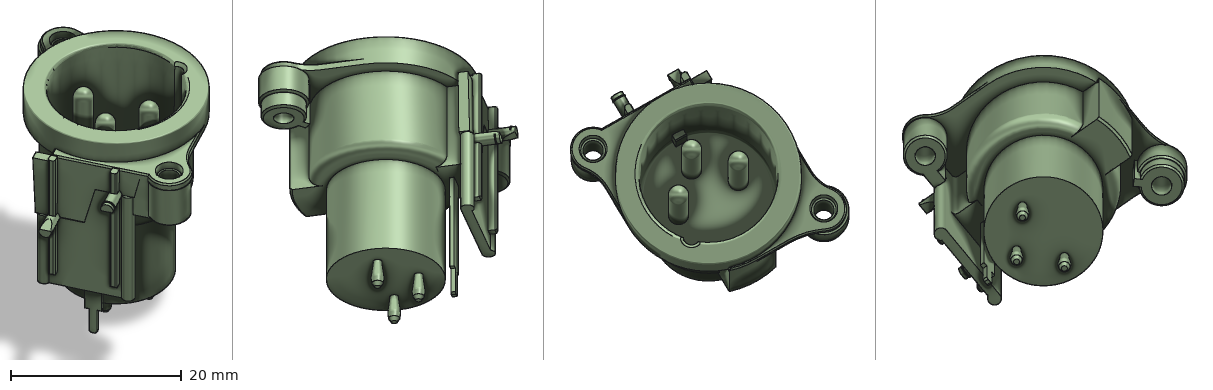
import cadquery as cq
import math


COLLAR_R = 10.9
COLLAR_TOP = 2.75
RIM_FILLET = 0.2
CUP_R = 9.04
CUP_BOTTOM = -11.8
CUP_FILLET = 1.55
BARREL_R = 6.97
BARREL_BOTTOM = -24.0
TAIL_BOTTOM = -27.45

BORE_TOP_R = 8.15
BORE_BOTTOM_R = 8.03
BORE_FLOOR = -10.2
BORE_RIM_FILLET = 0.45
BORE_FLOOR_FILLET = 0.42
KEY_R = 0.97
KEY_POSITION_R = 7.75
KEY_RIM_CHAMFER = 0.4
KEY_ANGLE = 45.0

FLANGE_T = 0.93
FLANGE_CHAMFER = 0.2
LUG_OFFSET = 9.88
LUG_R = 2.65
LUG_WIDE_R = 2.95
LUG_WIDE_BOTTOM = -4.35
LUG_BOTTOM = -6.3
LUG_CHAMFER = 0.25
LUG_STEM_R = 2.57
LUG_WEB_W = 1.0
LUG_WEB_L = 3.3
FRONT_WEB_X = 5.95
HOLE_R = 1.18
RECESS_TOP_R = 1.63
RECESS_FLOOR_R = 1.45
RECESS_DEPTH = 0.8
SIDE_BLEND_R = 5.2
BACK_BLEND_R = 9.8
BACK_Y = 11.26
BACK_X_MIN = -2.85
BACK_X_MAX = 3.4
BACK_FILLET = 0.6
BACK_CHAMFER = 0.3

PANEL_Y = -11.5
PANEL_BACK_Y = -10.3
PANEL_BOTTOM = -18.95
PANEL_LEFT = -4.25
RAIL_R = 0.8
RAIL_Y = -11.1
RAIL_LEFT_X = -5.15
RAIL_RIGHT_X = 5.22
PEG_X = 3.82
PEG_R = 0.76
PEG_END_Y = -14.8
PEG_TAPER_Y = -13.13
PEG_END_FLAT = 0.28
PEG_RIDGE_Y = -14.2
PEG_RIDGE_W = 0.15
PEG_RIDGE_H = 0.08
PEG_LEFT_Z = -8.88
PEG_RIGHT_Z = -3.72
PAD_STEP_LEFT_X = -0.05
PAD_STEP_RIGHT_X = 1.27
PAD_TOP_LEFT_X = -6.45
PAD_TOP_RIGHT_X = 6.75
PAD_FOOT_X = 6.1
PAD_DRAFT = 0.1
RIB_W = 0.86
RIB_Y = -12.5
RIB_BOTTOM = -16.96
RIB_CHAMFER = 0.2
WEB_HALF_W = 3.65
WEB_FILLET = 0.6

PIN_R = 1.2
PIN_TOP = 1.47
PIN_X = 4.06
PIN_Y = -3.95
PIN_POSITIONS = [(-PIN_X, 0), (PIN_X, 0), (0, PIN_Y)]
TAIL_NECK_R = 0.53
TAIL_BULB_R = 0.75
TAIL_TIP_R = 0.35
TAIL_NECK_L = 0.4
TAIL_BULB_Z = -26.1
TAIL_BULB_L = 0.25
TAIL_ROUND_Z = -26.95
TAIL_ROUND_R = 0.66
GROUND_Y_FRONT = -8.5
GROUND_Y_BACK = -7.95
GROUND_W = 2.06
GROUND_TIP_W = 1.0
GROUND_TIP_CHAMFER = 0.25
TAB_X = (-1.25, 0.25)
TAB_Y = (-8.3, -7.15)
TAB_H = 3.0
TAB_CHAMFER = 0.18


def box(x0, x1, y0, y1, z0, z1):
    return cq.Workplane("XY").box(x1 - x0, y1 - y0, z1 - z0, centered=False).translate((x0, y0, z0))


def cylinder(x, y, radius, z0, z1):
    return cq.Workplane("XY", origin=(x, y, z0)).circle(radius).extrude(z1 - z0)


def blend_tangency(flat_offset, blend_r):
    """Concave blend between a lug and a flat lying flat_offset outside the lug centre.

    Returns the distance along the flat to the tangent point on the flat, and the tangent
    point on the lug as (along the flat, outwards), all from the lug centre.
    """
    out = flat_offset + blend_r
    along = math.sqrt((LUG_R + blend_r) ** 2 - out ** 2)
    ratio = LUG_R / (LUG_R + blend_r)
    return along, along * ratio, out * ratio


def flange():
    side_flat, side_along, side_out = blend_tangency(COLLAR_R - LUG_OFFSET, SIDE_BLEND_R)
    back_flat, back_along, back_out = blend_tangency(BACK_Y - LUG_OFFSET, BACK_BLEND_R)
    step_angle = math.acos(BACK_X_MAX / BACK_Y)
    half_angle = (math.pi / 2 + step_angle) / 2
    front_cut = math.sqrt(LUG_R ** 2 - (PANEL_Y + LUG_OFFSET) ** 2)
    outline = (
        cq.Workplane("XY", origin=(0, 0, -FLANGE_T))
        .moveTo(-COLLAR_R, 0)
        .lineTo(-COLLAR_R, LUG_OFFSET - side_flat)
        .tangentArcPoint((-LUG_OFFSET - side_out, LUG_OFFSET - side_along), relative=False)
        .tangentArcPoint((-LUG_OFFSET + back_along, LUG_OFFSET + back_out), relative=False)
        .tangentArcPoint((-LUG_OFFSET + back_flat, BACK_Y), relative=False)
        .lineTo(0, BACK_Y)
        .threePointArc(
            (BACK_Y * math.cos(half_angle), BACK_Y * math.sin(half_angle)),
            (BACK_X_MAX, BACK_Y * math.sin(step_angle)),
        )
        .lineTo(0, 0)
        .lineTo(COLLAR_R, 0)
        .lineTo(COLLAR_R, -LUG_OFFSET + side_flat)
        .tangentArcPoint((LUG_OFFSET + side_out, -LUG_OFFSET + side_along), relative=False)
        .tangentArcPoint((LUG_OFFSET - front_cut, PANEL_Y), relative=False)
        .lineTo(PANEL_LEFT, PANEL_Y)
        .lineTo(PANEL_LEFT, 0)
        .close()
    )
    return outline.extrude(FLANGE_T).faces(">Z").chamfer(FLANGE_CHAMFER)


def shell():
    collar = cylinder(0, 0, COLLAR_R, -FLANGE_T, COLLAR_TOP).faces(">Z").edges().fillet(RIM_FILLET)
    cup = cylinder(0, 0, CUP_R, CUP_BOTTOM, 0).faces("<Z").edges().fillet(CUP_FILLET)
    barrel = cylinder(0, 0, BARREL_R, BARREL_BOTTOM, BORE_FLOOR)
    return collar.union(cup).union(barrel)


def lugs():
    back = cylinder(-LUG_OFFSET, LUG_OFFSET, LUG_WIDE_R, LUG_WIDE_BOTTOM, -FLANGE_T)
    back = back.faces("<Z").chamfer(LUG_CHAMFER)
    stub = cylinder(-LUG_OFFSET, LUG_OFFSET, LUG_R, LUG_BOTTOM, -FLANGE_T)
    stub = stub.faces("<Z").chamfer(LUG_CHAMFER)
    front = cylinder(LUG_OFFSET, -LUG_OFFSET, LUG_STEM_R, LUG_BOTTOM, -FLANGE_T)
    front = front.faces("<Z").chamfer(LUG_CHAMFER)
    lug_distance = LUG_OFFSET * math.sqrt(2)
    web = box(-lug_distance, LUG_WEB_L - lug_distance, -LUG_WEB_W / 2, LUG_WEB_W / 2, LUG_BOTTOM, -FLANGE_T)
    web = web.rotate((0, 0, 0), (0, 0, 1), -45)
    front_web = box(FRONT_WEB_X, LUG_OFFSET, PANEL_Y, -LUG_OFFSET, LUG_BOTTOM, -FLANGE_T)
    return back.union(stub).union(front).union(web).union(front_web)


def lug_holes():
    profile = (
        cq.Workplane("XZ")
        .moveTo(0, LUG_BOTTOM)
        .lineTo(HOLE_R, LUG_BOTTOM)
        .lineTo(HOLE_R, -RECESS_DEPTH)
        .lineTo(RECESS_FLOOR_R, -RECESS_DEPTH)
        .lineTo(RECESS_TOP_R, 0)
        .lineTo(0, 0)
        .close()
        .revolve(360, (0, 0, 0), (0, 1, 0))
    )
    back = profile.translate((-LUG_OFFSET, LUG_OFFSET, 0))
    front = profile.translate((LUG_OFFSET, -LUG_OFFSET, 0))
    return back.union(front)


def bore():
    hole = (
        cq.Workplane("XZ")
        .moveTo(0, BORE_FLOOR)
        .lineTo(BORE_BOTTOM_R - BORE_FLOOR_FILLET, BORE_FLOOR)
        .tangentArcPoint((BORE_BOTTOM_R, BORE_FLOOR + BORE_FLOOR_FILLET), relative=False)
        .lineTo(BORE_TOP_R, COLLAR_TOP - BORE_RIM_FILLET)
        .tangentArcPoint((BORE_TOP_R + BORE_RIM_FILLET, COLLAR_TOP), relative=False)
        .lineTo(0, COLLAR_TOP)
        .close()
        .revolve(360, (0, 0, 0), (0, 1, 0))
    )
    groove = cylinder(KEY_POSITION_R, 0, KEY_R, BORE_FLOOR, COLLAR_TOP)
    groove = groove.union(box(0, KEY_POSITION_R, -KEY_R, KEY_R, BORE_FLOOR, COLLAR_TOP))
    flare = (
        cq.Workplane("XY", origin=(KEY_POSITION_R, 0, COLLAR_TOP))
        .circle(KEY_R + KEY_RIM_CHAMFER)
        .extrude(-KEY_RIM_CHAMFER, taper=45)
    )
    groove = groove.union(flare)
    return hole.union(groove.rotate((0, 0, 0), (0, 0, 1), KEY_ANGLE))


def back_rib():
    block = box(BACK_X_MIN, BACK_X_MAX, 0, BACK_Y, CUP_BOTTOM, -FLANGE_T)
    block = block.edges("|Z and >Y and <X").fillet(BACK_FILLET)
    return block.intersect(cylinder(0, 0, BACK_Y, CUP_BOTTOM, 0).faces("<Z").chamfer(BACK_CHAMFER))


def drafted_pad():
    """Raised front face, flush with the panel at the flange and proud of it lower down."""
    outline = [
        (PAD_TOP_LEFT_X, -FLANGE_T),
        (PAD_TOP_RIGHT_X, -FLANGE_T),
        (PAD_FOOT_X, PEG_RIGHT_Z),
        (PAD_STEP_RIGHT_X, PEG_RIGHT_Z),
        (PAD_STEP_LEFT_X, PEG_LEFT_Z),
        (-PAD_FOOT_X, PEG_LEFT_Z),
    ]
    depth = PANEL_BACK_Y - PANEL_Y + PAD_DRAFT
    block = cq.Workplane("XZ", origin=(0, PANEL_BACK_Y, 0)).polyline(outline).close().extrude(depth)
    relief = (
        cq.Workplane("YZ", origin=(PAD_TOP_LEFT_X, 0, 0))
        .moveTo(PANEL_Y, -FLANGE_T)
        .lineTo(PANEL_Y - PAD_DRAFT, -FLANGE_T)
        .lineTo(PANEL_Y - PAD_DRAFT, PEG_LEFT_Z)
        .close()
        .extrude(PAD_TOP_RIGHT_X - PAD_TOP_LEFT_X)
    )
    return block.cut(relief)


def panel_web():
    """Web from the cup to the panel, flaring with a concave fillet onto the panel's back."""
    bend_mid = WEB_FILLET * (1 - math.sqrt(0.5))
    half = (
        cq.Workplane("XY", origin=(0, 0, CUP_BOTTOM))
        .moveTo(0, -BARREL_R)
        .lineTo(WEB_HALF_W, -BARREL_R)
        .lineTo(WEB_HALF_W, PANEL_BACK_Y + WEB_FILLET)
        .threePointArc(
            (WEB_HALF_W + bend_mid, PANEL_BACK_Y + bend_mid),
            (WEB_HALF_W + WEB_FILLET, PANEL_BACK_Y),
        )
        .lineTo(0, PANEL_BACK_Y)
        .close()
        .extrude(-FLANGE_T - CUP_BOTTOM)
    )
    return half.union(half.mirror("YZ"))


def panel():
    plate = box(RAIL_LEFT_X, RAIL_RIGHT_X, PANEL_Y, PANEL_BACK_Y, PANEL_BOTTOM, -FLANGE_T)
    for x, top_z in ((RAIL_LEFT_X, PEG_LEFT_Z), (RAIL_RIGHT_X, PEG_RIGHT_Z)):
        plate = plate.union(cylinder(x, RAIL_Y, RAIL_R, PANEL_BOTTOM, top_z))
    return plate.union(drafted_pad()).union(panel_web())


def rib(x):
    body = box(x - RIB_W / 2, x + RIB_W / 2, RIB_Y, PANEL_Y, RIB_BOTTOM, 0)
    return body.faces("<Y").edges("|Z or <Z").chamfer(RIB_CHAMFER)


def peg(x, z, flat_side):
    """Locating peg along -Y; flat_side (+1 up, -1 down) tells which side is tapered."""
    body = cq.Workplane("XZ", origin=(x, PANEL_BACK_Y, z)).circle(PEG_R).extrude(PANEL_BACK_Y - PEG_END_Y)
    wedge = (
        cq.Workplane("YZ", origin=(x - PEG_R, 0, z))
        .moveTo(PEG_TAPER_Y, flat_side * PEG_R)
        .lineTo(PEG_END_Y, flat_side * PEG_R)
        .lineTo(PEG_END_Y, flat_side * PEG_END_FLAT)
        .close()
        .extrude(2 * PEG_R)
    )
    ridge = cq.Workplane("XZ", origin=(0, PEG_RIDGE_Y, 0)).circle(PEG_R + PEG_RIDGE_H).extrude(PEG_RIDGE_W)
    half_z = sorted((0, -2 * flat_side * PEG_R))
    plain_half = box(-2 * PEG_R, 2 * PEG_R, PEG_END_Y, PEG_TAPER_Y, *half_z)
    ridge = ridge.intersect(plain_half).translate((x, 0, z))
    return body.cut(wedge).union(ridge)


def contact_pin(x, y):
    return (
        cq.Workplane("XZ")
        .moveTo(0, TAIL_BOTTOM)
        .lineTo(TAIL_TIP_R, TAIL_BOTTOM)
        .lineTo(TAIL_ROUND_R, TAIL_ROUND_Z)
        .lineTo(TAIL_BULB_R, TAIL_BULB_Z - TAIL_BULB_L)
        .lineTo(TAIL_BULB_R, TAIL_BULB_Z)
        .lineTo(TAIL_NECK_R, BARREL_BOTTOM - TAIL_NECK_L)
        .lineTo(TAIL_NECK_R, BARREL_BOTTOM)
        .lineTo(PIN_R, BARREL_BOTTOM)
        .lineTo(PIN_R, PIN_TOP - PIN_R)
        .tangentArcPoint((0, PIN_TOP), relative=False)
        .close()
        .revolve(360, (0, 0, 0), (0, 1, 0))
        .translate((x, y, 0))
    )


def ground_contact():
    half = GROUND_W / 2
    blade = box(-half, half, GROUND_Y_FRONT, GROUND_Y_BACK, BARREL_BOTTOM, BORE_FLOOR)
    half_tip = GROUND_TIP_W / 2
    tip = box(-half_tip, half_tip, GROUND_Y_FRONT, GROUND_Y_BACK, TAIL_BOTTOM, BARREL_BOTTOM)
    tip = tip.faces("<Z").edges("|Y").chamfer(GROUND_TIP_CHAMFER)
    tab = box(*TAB_X, *TAB_Y, BORE_FLOOR, BORE_FLOOR + TAB_H)
    tab = tab.edges(">Y and >Z").chamfer(TAB_CHAMFER)
    return blade.union(tip).union(tab)


result = shell().union(flange()).union(lugs()).union(back_rib()).union(panel())
for rib_x in (-PEG_X, PEG_X):
    result = result.union(rib(rib_x))
result = result.union(peg(-PEG_X, PEG_LEFT_Z, 1)).union(peg(PEG_X, PEG_RIGHT_Z, -1))
result = result.cut(bore()).cut(lug_holes())
for pin_x, pin_y in PIN_POSITIONS:
    result = result.union(contact_pin(pin_x, pin_y))
result = result.union(ground_contact())